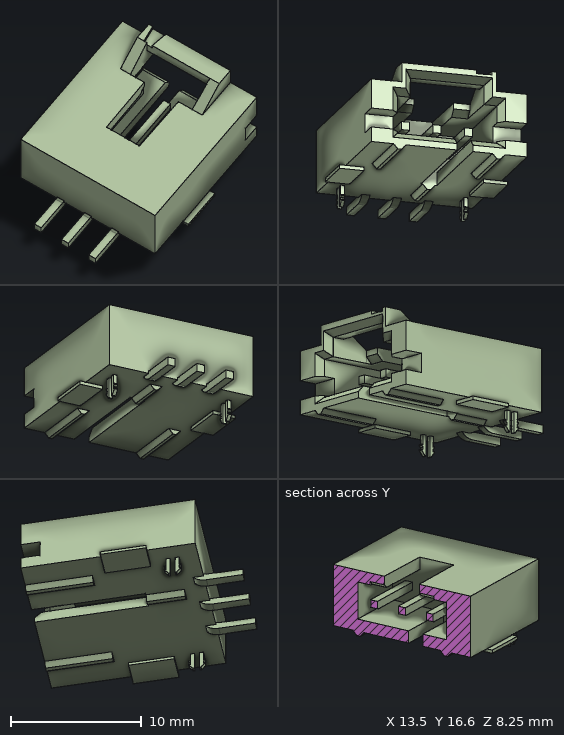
import cadquery as cq


BODY_WIDTH = 12.53
BODY_LENGTH = 13.58
BODY_HEIGHT = 5.05

CAVITY_WIDTH = 8.02
CAVITY_FLOOR = 1.03
CAVITY_HEIGHT = 3.0
CAVITY_ROOF = CAVITY_FLOOR + CAVITY_HEIGHT
CAVITY_MIDDLE = CAVITY_FLOOR + CAVITY_HEIGHT / 2
CAVITY_DEPTH = 8.89
LEAD_IN = 0.52

NOTCH_DEPTH = 1.51
NOTCH_BOTTOM = 1.16
NOTCH_TOP = 2.68

LATCH_WIDTH = 7.62
LATCH_TOP = 6.59
LATCH_DEPTH = 3.78
BAR_DEPTH = 1.51
BAR_BOTTOM = 5.55
OPENING_WIDTH = 5.92
OPENING_END_WIDTH = 5.75

GROOVE_X = -2.81
GROOVE_BACK_WIDTH = 1.23
GROOVE_FRONT_WIDTH = 0.77
GROOVE_DEPTH = 0.28

WINDOW_WIDTH = 3.18
WINDOW_END_WIDTH = 3.08

FLOOR_SLOT_X = -1.26
FLOOR_SLOT_WIDTH = 1.28

RIB_HEIGHT = 0.38
RIB_BASE_WIDTH = 1.03
RIB_TIP_WIDTH = 0.3
SIDE_RIB_X = 3.98
SIDE_RIB_LENGTH = 5.24
REAR_RIB_LENGTH = 3.0

PIN_PITCH = 2.53
PIN_COUNT = 3
PIN_SIZE = 0.65
PIN_TIP = 3.0
LEAD_END = 16.64
LEAD_TOP = 0.17
BEND_Y = 13.8
BEND_INNER_RADIUS = 0.67

PAD_SPAN = 13.51
PAD_THICKNESS = 0.28
PAD_START = 6.27
PAD_LENGTH = 3.56

POST_X = 4.96
POST_THICKNESS = 0.3
POST_Y = 11.6
POST_GAP = 0.4
POST_HALF_WIDTH = 0.52
BARB_HALF_WIDTH = 0.65
TIP_HALF_WIDTH = 0.32
POST_LENGTH = 1.66
BARB_TOPS = (0.78, 1.16)
BARB_LAND = 0.08
POST_EMBED = 0.17


def block(x_middle, width, y_start, y_end, z_bottom, z_top):
    """Box between two distances behind the mating face and two heights."""
    return (
        cq.Workplane("XY")
        .box(width, y_end - y_start, z_top - z_bottom, centered=(True, False, False))
        .translate((x_middle, -y_end, z_bottom))
    )


def side_prism(outline, x_middle, width):
    """Extrude a (Y, Z) outline symmetrically about x_middle."""
    return (
        cq.Workplane("YZ", origin=(x_middle, 0, 0))
        .polyline(outline)
        .close()
        .extrude(width / 2, both=True)
    )


def tapered_block(width, end_width, y_start, y_end, z_bottom, z_top):
    """Centred block whose width changes evenly from y_start to y_end."""
    return (
        cq.Workplane("XY", origin=(0, 0, z_bottom))
        .polyline([
            (-width / 2, -y_start),
            (width / 2, -y_start),
            (end_width / 2, -y_end),
            (-end_width / 2, -y_end),
        ])
        .close()
        .extrude(z_top - z_bottom)
    )


def mouth_lead_in(width, z_bottom, z_top):
    """Flare at the mating face that narrows to the given rectangular opening."""
    height = z_top - z_bottom
    return (
        cq.Workplane("XZ", origin=(0, 0, z_bottom + height / 2))
        .rect(width + 2 * LEAD_IN, height + 2 * LEAD_IN)
        .workplane(offset=LEAD_IN)
        .rect(width, height)
        .loft()
    )


def latch_frame():
    outline = [(0, BODY_HEIGHT), (0, LATCH_TOP), (-BAR_DEPTH, LATCH_TOP), (-LATCH_DEPTH, BODY_HEIGHT)]
    return side_prism(outline, 0, LATCH_WIDTH)


def latch_opening():
    """Opening from the cavity up through the latch, leaving the cross bar."""
    full_height = tapered_block(
        OPENING_WIDTH, OPENING_END_WIDTH, 0, LATCH_DEPTH, CAVITY_MIDDLE, LATCH_TOP
    )
    bar = block(0, LATCH_WIDTH, 0, BAR_DEPTH, BAR_BOTTOM, LATCH_TOP)
    lead_in = mouth_lead_in(OPENING_WIDTH, CAVITY_MIDDLE, BAR_BOTTOM)
    roof_chamfer = side_prism(
        [
            (-LATCH_DEPTH, CAVITY_ROOF + LEAD_IN),
            (-LATCH_DEPTH, CAVITY_ROOF),
            (-LATCH_DEPTH - LEAD_IN, CAVITY_ROOF),
        ],
        0,
        OPENING_END_WIDTH,
    )
    return full_height.cut(bar).union(lead_in).union(roof_chamfer)


def bar_groove():
    back = GROOVE_BACK_WIDTH / 2
    front = GROOVE_FRONT_WIDTH / 2
    return (
        cq.Workplane("XY", origin=(GROOVE_X, 0, LATCH_TOP - GROOVE_DEPTH))
        .polyline([(-back, 0), (back, 0), (front, -BAR_DEPTH), (-front, -BAR_DEPTH)])
        .close()
        .extrude(GROOVE_DEPTH)
    )


def cavity():
    main = block(0, CAVITY_WIDTH, 0, CAVITY_DEPTH, CAVITY_FLOOR, CAVITY_ROOF)
    return main.union(mouth_lead_in(CAVITY_WIDTH, CAVITY_FLOOR, CAVITY_ROOF))


def roof_window():
    return tapered_block(
        WINDOW_WIDTH, WINDOW_END_WIDTH, LATCH_DEPTH, CAVITY_DEPTH, CAVITY_MIDDLE, BODY_HEIGHT
    )


def housing():
    body = block(0, BODY_WIDTH, 0, BODY_LENGTH, 0, BODY_HEIGHT)
    side_notch = block(0, BODY_WIDTH, 0, NOTCH_DEPTH, NOTCH_BOTTOM, NOTCH_TOP)
    floor_slot = block(FLOOR_SLOT_X, FLOOR_SLOT_WIDTH, 0, CAVITY_DEPTH, 0, CAVITY_MIDDLE)
    return (
        body.union(latch_frame())
        .cut(cavity())
        .cut(latch_opening())
        .cut(roof_window())
        .cut(bar_groove())
        .cut(side_notch)
        .cut(floor_slot)
    )


def rib(x_middle, y_start, length):
    base = RIB_BASE_WIDTH / 2
    tip = RIB_TIP_WIDTH / 2
    return (
        cq.Workplane("XZ", origin=(x_middle, -y_start, 0))
        .polyline([(-base, 0), (base, 0), (tip, -RIB_HEIGHT), (-tip, -RIB_HEIGHT)])
        .close()
        .extrude(length)
    )


def contact(x_middle):
    """Pin in the cavity plus the bent lead that leaves the body at board level."""
    pin = block(
        x_middle, PIN_SIZE, PIN_TIP, BODY_LENGTH - BEND_INNER_RADIUS,
        CAVITY_MIDDLE - PIN_SIZE / 2, CAVITY_MIDDLE + PIN_SIZE / 2,
    )
    outer_radius = BEND_INNER_RADIUS + PIN_SIZE
    bend_z = LEAD_TOP + BEND_INNER_RADIUS
    diagonal = 0.5 ** 0.5
    lead = (
        cq.Workplane("YZ", origin=(x_middle, 0, 0))
        .moveTo(-LEAD_END, LEAD_TOP)
        .lineTo(-BEND_Y, LEAD_TOP)
        .threePointArc(
            (-BEND_Y + BEND_INNER_RADIUS * diagonal, bend_z - BEND_INNER_RADIUS * diagonal),
            (-BEND_Y + BEND_INNER_RADIUS, bend_z),
        )
        .lineTo(-BEND_Y + outer_radius, bend_z)
        .threePointArc(
            (-BEND_Y + outer_radius * diagonal, bend_z - outer_radius * diagonal),
            (-BEND_Y, LEAD_TOP - PIN_SIZE),
        )
        .lineTo(-LEAD_END, LEAD_TOP - PIN_SIZE)
        .close()
        .extrude(PIN_SIZE / 2, both=True)
    )
    return pin.union(lead)


def solder_pad(side):
    inner = POST_X - POST_THICKNESS / 2
    outer = PAD_SPAN / 2
    return block(
        side * (inner + outer) / 2, outer - inner,
        PAD_START, PAD_START + PAD_LENGTH, -PAD_THICKNESS, 0,
    )


def board_lock(side):
    """Barbed post split lengthwise into two mirrored legs."""
    barb = BARB_HALF_WIDTH - POST_HALF_WIDTH
    upper, lower = BARB_TOPS
    outline = [
        (POST_GAP / 2, POST_EMBED),
        (POST_HALF_WIDTH, POST_EMBED),
        (POST_HALF_WIDTH, -upper),
        (BARB_HALF_WIDTH, -upper),
        (BARB_HALF_WIDTH, -upper - BARB_LAND),
        (POST_HALF_WIDTH, -upper - BARB_LAND - barb),
        (POST_HALF_WIDTH, -lower),
        (BARB_HALF_WIDTH, -lower),
        (BARB_HALF_WIDTH, -lower - BARB_LAND),
        (TIP_HALF_WIDTH, -POST_LENGTH),
        (POST_GAP / 2, -POST_LENGTH),
    ]
    leg = side_prism(outline, side * POST_X, POST_THICKNESS)
    return leg.union(leg.mirror("XZ")).translate((0, -POST_Y, 0))


result = housing()

for side in (-1, 1):
    result = result.union(rib(side * SIDE_RIB_X, 0, SIDE_RIB_LENGTH))
    result = result.union(solder_pad(side))
    result = result.union(board_lock(side))
result = result.union(rib(FLOOR_SLOT_X, CAVITY_DEPTH, REAR_RIB_LENGTH))

for index in range(PIN_COUNT):
    result = result.union(contact((index - (PIN_COUNT - 1) / 2) * PIN_PITCH))